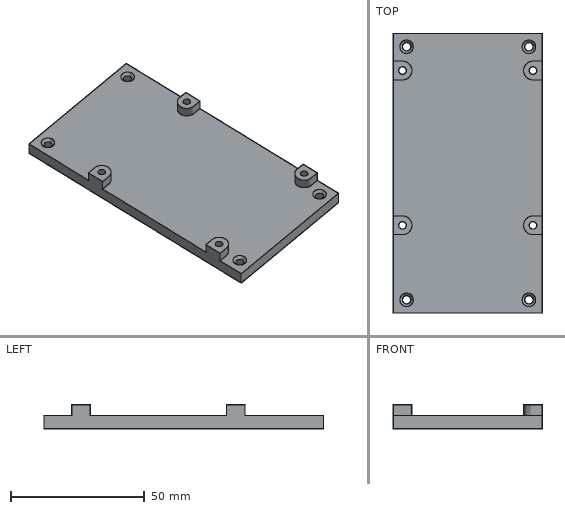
import cadquery as cq

plate_width = 56.0
plate_length = 105.0
plate_thickness = 5.0
total_height = 9.0

corner_inset = 5.0
screw_hole_diameter = 3.0
countersink_diameter = 5.0
countersink_angle = 90.0

standoff_width = 7.0
standoff_radius = standoff_width / 2
standoff_height = total_height - plate_thickness
standoff_hole_diameter = 2.7
rear_standoff_inset = 14.0
front_standoff_inset = 33.0

corner_x = plate_width / 2 - corner_inset
corner_y = plate_length / 2 - corner_inset
standoff_x = plate_width / 2 - standoff_radius
standoff_rows = (
    plate_length / 2 - rear_standoff_inset,
    front_standoff_inset - plate_length / 2,
)


def standoff(side, y):
    """Block flush with the plate edge and rounded inward; side is -1 or +1 in X."""
    edge_x = side * plate_width / 2
    center_x = side * standoff_x
    return (
        cq.Workplane("XY")
        .workplane(offset=plate_thickness)
        .moveTo(edge_x, y - standoff_radius)
        .lineTo(center_x, y - standoff_radius)
        .threePointArc((center_x - side * standoff_radius, y), (center_x, y + standoff_radius))
        .lineTo(edge_x, y + standoff_radius)
        .close()
        .extrude(standoff_height)
    )


result = (
    cq.Workplane("XY")
    .box(plate_width, plate_length, plate_thickness, centered=(True, True, False))
    .faces(">Z")
    .workplane()
    .rect(2 * corner_x, 2 * corner_y, forConstruction=True)
    .vertices()
    .cskHole(screw_hole_diameter, countersink_diameter, countersink_angle)
)

for side in (-1, 1):
    for row_y in standoff_rows:
        result = result.union(standoff(side, row_y))

standoff_holes = (
    cq.Workplane("XY")
    .pushPoints([(side * standoff_x, row_y) for side in (-1, 1) for row_y in standoff_rows])
    .circle(standoff_hole_diameter / 2)
    .extrude(total_height)
)
result = result.cut(standoff_holes)